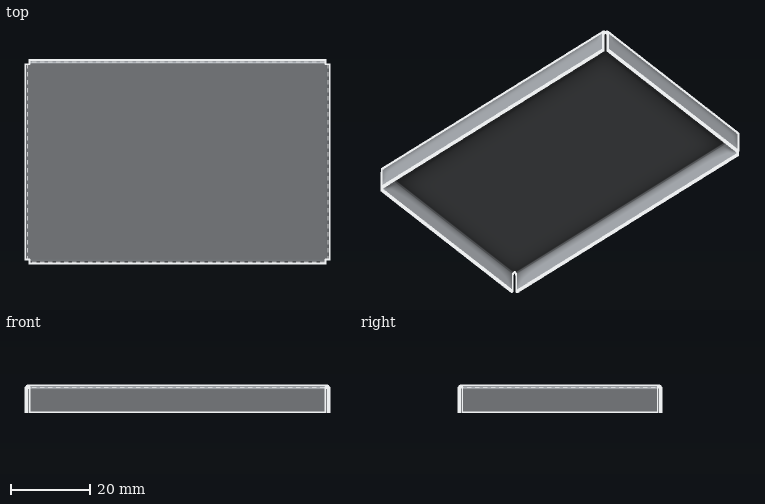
import cadquery as cq


length = 76.7
width = 51.3
height = 6.8

sheet_thickness = 0.5
inner_bend_radius = 0.5
outer_bend_radius = inner_bend_radius + sheet_thickness

flat_length = length - 2 * outer_bend_radius
flat_width = width - 2 * outer_bend_radius


def rounded_block(span, run, block_height, radius):
    """Block standing on Z = 0 whose two top edges along Y are rounded."""
    block = cq.Workplane("XY").box(span, run, block_height, centered=(True, True, False))
    return block.faces(">Z").edges("|Y").fillet(radius)


def folded_strip(span, run):
    """Strip along X, `run` wide in Y, with both ends bent down into walls."""
    outside = rounded_block(span, run, height, outer_bend_radius)
    inside = rounded_block(
        span - 2 * sheet_thickness,
        run,
        height - sheet_thickness,
        inner_bend_radius,
    )
    return outside.cut(inside)


end_walls = folded_strip(length, flat_width)
side_walls = folded_strip(width, flat_length).rotate((0, 0, 0), (0, 0, 1), 90)

result = end_walls.union(side_walls)